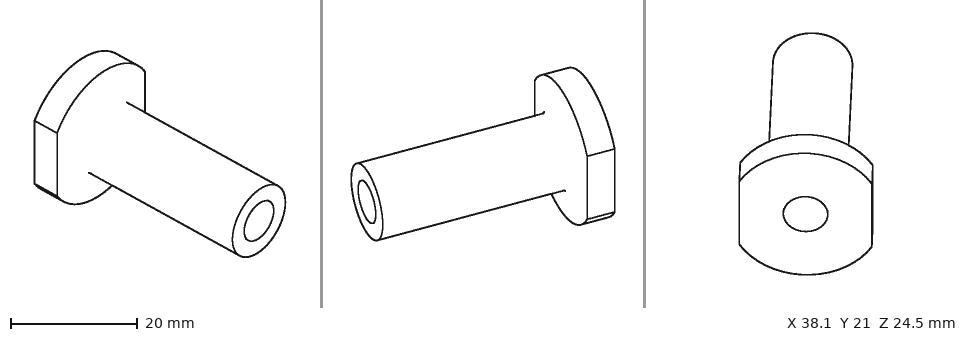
import cadquery as cq

total_length = 38.1
head_diameter = 24.5
head_thickness = 4.75
width_across_flats = 20.95
shank_diameter = 12.6
bore_diameter = 7.0
neck_fillet_radius = 1.5

selection_margin = 0.2


def make_head():
    """Round head cut by two parallel flats facing -Y and +Y."""
    disc = cq.Workplane("YZ").circle(head_diameter / 2).extrude(head_thickness)
    flats = cq.Workplane("YZ").rect(width_across_flats, head_diameter).extrude(head_thickness)
    return disc.intersect(flats)


def make_shank():
    """Cylinder running the full length of the part."""
    return cq.Workplane("YZ").circle(shank_diameter / 2).extrude(total_length)


def fillet_neck(body):
    """Round the inside corner where the shank meets the head."""
    reach = shank_diameter / 2 + selection_margin
    neck_corner = cq.selectors.BoxSelector(
        (head_thickness - selection_margin, -reach, -reach),
        (head_thickness + selection_margin, reach, reach),
        boundingbox=True,
    )
    return body.edges(neck_corner).fillet(neck_fillet_radius)


def make_bore():
    """Through bore along the axis."""
    return cq.Workplane("YZ").circle(bore_diameter / 2).extrude(total_length)


result = fillet_neck(make_head().union(make_shank())).cut(make_bore())